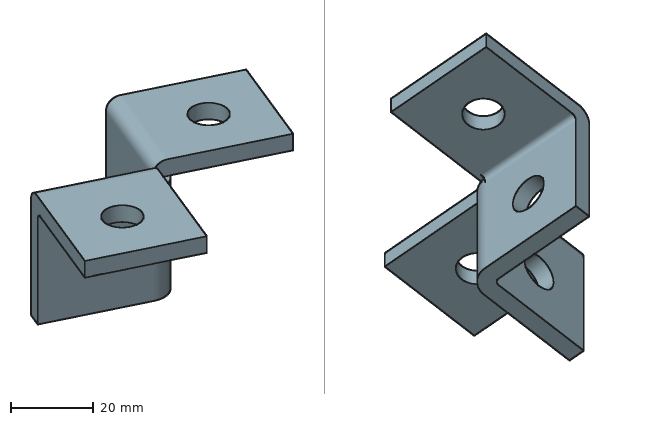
import cadquery as cq
import math

overall_side = 68.25
leg_length = 36.5
thickness = 4.8
hole_diameter = 10.3
inner_bend_radius = 1.5
top_bend_radius = 3.8

arm_width = overall_side - leg_length
clear_height = leg_length - thickness
hole_offset = arm_width / 2
corner_bend_radius = inner_bend_radius + thickness


def make_arm():
    """L-shaped arm on the -X side, with its wall outside at Y = 0."""
    sharp_arm = (
        cq.Workplane("YZ")
        .polyline([
            (0, 0),
            (thickness, 0),
            (thickness, clear_height),
            (leg_length, clear_height),
            (leg_length, leg_length),
            (0, leg_length),
        ])
        .close()
        .extrude(-arm_width)
    )
    arm = sharp_arm.edges(
        cq.selectors.NearestToPointSelector((-arm_width / 2, 0, leg_length))
    ).fillet(top_bend_radius)
    arm = arm.edges(
        cq.selectors.NearestToPointSelector((-arm_width / 2, thickness, clear_height))
    ).fillet(inner_bend_radius)

    bend_space = cq.Workplane("XY").box(
        inner_bend_radius, corner_bend_radius, clear_height, centered=False
    ).translate((-inner_bend_radius, 0, 0))

    plate_hole = (
        cq.Workplane("XY")
        .center(-hole_offset, leg_length - hole_offset)
        .circle(hole_diameter / 2)
        .extrude(thickness)
        .translate((0, 0, clear_height))
    )
    wall_hole = (
        cq.Workplane("XZ")
        .center(-hole_offset, hole_offset)
        .circle(hole_diameter / 2)
        .extrude(-thickness)
    )
    return arm.cut(bend_space).cut(plate_hole).cut(wall_hole)


def make_corner_bend():
    """Quarter ring joining the two walls, as tall as the clear wall height."""
    inner_mid = inner_bend_radius * math.sqrt(0.5)
    outer_mid = corner_bend_radius * math.sqrt(0.5)
    return (
        cq.Workplane("XY", origin=(-inner_bend_radius, -inner_bend_radius, 0))
        .moveTo(inner_bend_radius, 0)
        .lineTo(corner_bend_radius, 0)
        .threePointArc((outer_mid, outer_mid), (0, corner_bend_radius))
        .lineTo(0, inner_bend_radius)
        .threePointArc((inner_mid, inner_mid), (inner_bend_radius, 0))
        .close()
        .extrude(clear_height)
    )


left_arm = make_arm()
right_arm = left_arm.mirror("YZ").rotate((0, 0, 0), (0, 0, 1), -90)

result = left_arm.union(make_corner_bend()).union(right_arm)
result = result.translate((overall_side / 2 - leg_length, overall_side / 2 - leg_length, 0))